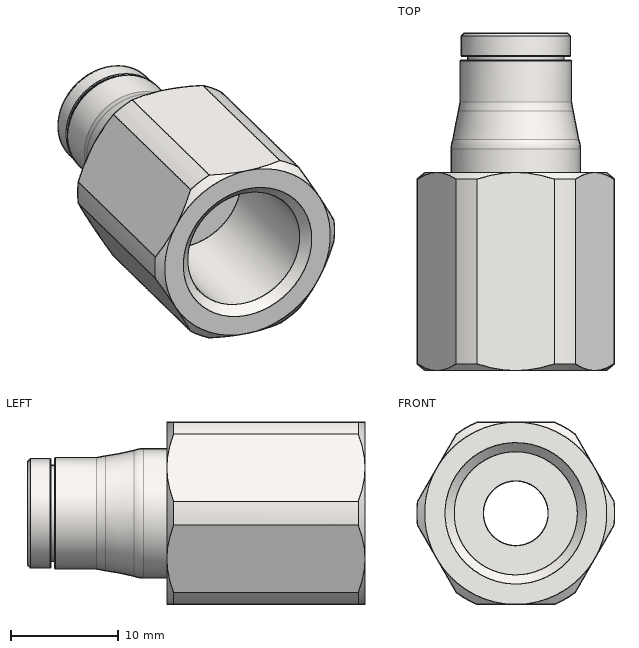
import cadquery as cq
import math

total_length = 31.5
front_y = -total_length / 2
back_y = total_length / 2

hex_flats = 17.0
hex_corner_diameter = 18.5
hex_length = 18.5
hex_face_diameter = hex_flats
hex_chamfer_length = 0.63

collar_diameter = 12.1
collar_length = 2.2
flare_length = 4.38
flare_blend_length = 0.85
flare_blend_rise = 0.15
neck_diameter = 10.43
groove_diameter = 9.0
groove_width = 0.3
head_diameter = 10.25
head_length = 2.2
head_chamfer = 0.28
neck_chamfer = 0.1

through_diameter = 6.02
socket_diameter = 11.5
socket_depth = 13.85
socket_mouth_diameter = 13.2
socket_chamfer = (socket_mouth_diameter - socket_diameter) / 2


def revolve_about_y(profile):
    """Turn a closed (radius, y) outline around the Y axis."""
    return profile.close().revolve(360, (0, 0, 0), (0, 1, 0))


def make_hex_socket():
    """Hexagonal prism with flats facing +Z and -Z, turned and chamfered at both ends."""
    hex_back_y = front_y + hex_length
    prism = (
        cq.Workplane("XZ", origin=(0, front_y, 0))
        .polygon(6, hex_flats / math.cos(math.pi / 6))
        .extrude(-hex_length)
    )
    envelope = revolve_about_y(
        cq.Workplane("XY")
        .moveTo(0, front_y)
        .lineTo(hex_face_diameter / 2, front_y)
        .lineTo(hex_corner_diameter / 2, front_y + hex_chamfer_length)
        .lineTo(hex_corner_diameter / 2, hex_back_y - hex_chamfer_length)
        .lineTo(hex_face_diameter / 2, hex_back_y)
        .lineTo(0, hex_back_y)
    )
    return prism.intersect(envelope)


def make_spigot():
    """Collar, flared shoulder, neck, groove and chamfered head, turned as one body."""
    collar_start_y = front_y + hex_length
    collar_end_y = collar_start_y + collar_length
    flare_end_y = collar_end_y + flare_length
    head_start_y = back_y - head_length
    neck_end_y = head_start_y - groove_width
    collar_radius = collar_diameter / 2
    neck_radius = neck_diameter / 2
    head_radius = head_diameter / 2
    groove_radius = groove_diameter / 2
    return revolve_about_y(
        cq.Workplane("XY")
        .moveTo(0, collar_start_y)
        .lineTo(collar_radius, collar_start_y)
        .lineTo(collar_radius, collar_end_y)
        .tangentArcPoint(
            (collar_radius - flare_blend_rise, collar_end_y + flare_blend_length), relative=False
        )
        .lineTo(neck_radius + flare_blend_rise, flare_end_y - flare_blend_length)
        .tangentArcPoint((neck_radius, flare_end_y), relative=False)
        .lineTo(neck_radius, neck_end_y - neck_chamfer)
        .lineTo(neck_radius - neck_chamfer, neck_end_y)
        .lineTo(groove_radius, neck_end_y)
        .lineTo(groove_radius, head_start_y)
        .lineTo(head_radius - neck_chamfer, head_start_y)
        .lineTo(head_radius, head_start_y + neck_chamfer)
        .lineTo(head_radius, back_y - head_chamfer)
        .lineTo(head_radius - head_chamfer, back_y)
        .lineTo(0, back_y)
    )


def make_bores():
    """Chamfered blind socket from the front, with a smaller hole through to the back."""
    socket_end_y = front_y + socket_depth
    return revolve_about_y(
        cq.Workplane("XY")
        .moveTo(0, front_y)
        .lineTo(socket_mouth_diameter / 2, front_y)
        .lineTo(socket_diameter / 2, front_y + socket_chamfer)
        .lineTo(socket_diameter / 2, socket_end_y)
        .lineTo(through_diameter / 2, socket_end_y)
        .lineTo(through_diameter / 2, back_y)
        .lineTo(0, back_y)
    )


result = make_hex_socket().union(make_spigot()).cut(make_bores())